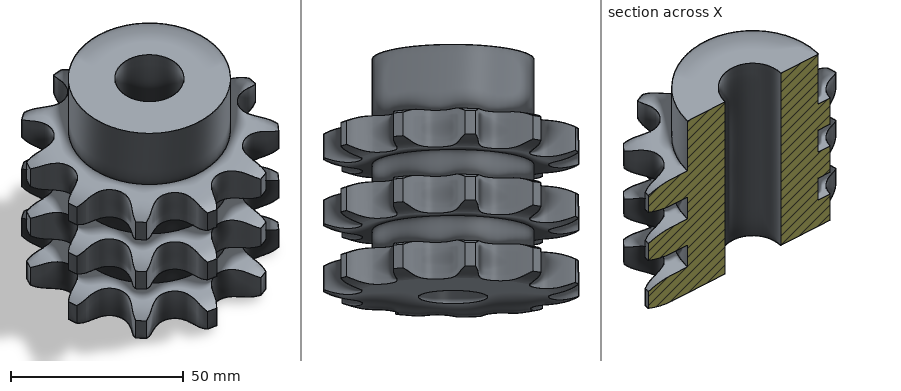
import cadquery as cq
import math

tooth_count = 11
pitch = 19.0
roller_diameter = 12.1

strand_count = 3
strand_spacing = 19.5
tooth_width = 10.8
tip_diameter = 75.0
hub_diameter = 47.0
bore_diameter = 20.0
total_height = 70.0

relief_start_radius = 28.95
relief_depth = 1.95

tip_radius = tip_diameter / 2
half_tooth_angle = math.pi / tooth_count
pitch_radius = pitch / (2 * math.sin(half_tooth_angle))

seat_radius = 0.5025 * roller_diameter
seat_end_angle = math.radians(35 + 60 / tooth_count)
working_sweep = math.radians(18 - 56 / tooth_count)
working_center_distance = 0.8 * roller_diameter
topping_center_distance = 1.4 * roller_diameter


def polar(radius, angle, center=(0, 0)):
    """Point at a radius and angle from a center."""
    return (center[0] + radius * math.cos(angle), center[1] + radius * math.sin(angle))


def rotated(point, angle):
    """Point turned about the sprocket axis."""
    x, y = point
    return (
        x * math.cos(angle) - y * math.sin(angle),
        x * math.sin(angle) + y * math.cos(angle),
    )


def flank_points():
    """Right flank of a gap centered on +Y, from the end of the seat out to the tip."""
    roller_center = (0, pitch_radius)
    seat_end = polar(seat_radius, -seat_end_angle, roller_center)

    working_center = polar(-working_center_distance, -seat_end_angle, roller_center)
    working_radius = working_center_distance + seat_radius
    working_end_angle = working_sweep - seat_end_angle
    working_middle = polar(working_radius, working_sweep / 2 - seat_end_angle, working_center)
    working_end = polar(working_radius, working_end_angle, working_center)

    topping_center = polar(topping_center_distance, -half_tooth_angle, roller_center)
    normal = polar(1, working_end_angle)
    topping_radius = sum((topping_center[i] - working_end[i]) * normal[i] for i in range(2))
    topping_start = polar(-topping_radius, working_end_angle, topping_center)

    center_distance = math.hypot(*topping_center)
    center_direction = math.atan2(topping_center[1], topping_center[0])
    cosine = (tip_radius**2 + center_distance**2 - topping_radius**2) / (2 * tip_radius * center_distance)
    tip = polar(tip_radius, center_direction + math.acos(cosine))
    tip_angle = math.atan2(tip[1] - topping_center[1], tip[0] - topping_center[0])
    topping_middle_angle = (tip_angle + working_end_angle + math.pi) / 2
    topping_middle = polar(topping_radius, topping_middle_angle, topping_center)

    return [seat_end, working_middle, working_end, topping_start, topping_middle, tip]


def toothed_plate():
    """Flat plate with the full tooth outline, resting on Z = 0."""
    right = flank_points()
    left = [(-x, y) for x, y in right]
    seat_bottom = (0, pitch_radius - seat_radius)
    tooth_middle = polar(tip_radius, math.pi / 2 - half_tooth_angle)

    outline = cq.Workplane("XY").moveTo(*left[-1])
    for index in range(tooth_count):
        turn = -2 * half_tooth_angle * index
        next_turn = turn - 2 * half_tooth_angle
        seat_end, working_middle, working_end, topping_start, topping_middle, tip = (
            rotated(point, turn) for point in right
        )
        left_seat, left_working_middle, left_working, left_topping, left_topping_middle, _ = (
            rotated(point, turn) for point in left
        )
        outline = (
            outline.threePointArc(left_topping_middle, left_topping)
            .lineTo(*left_working)
            .threePointArc(left_working_middle, left_seat)
            .threePointArc(rotated(seat_bottom, turn), seat_end)
            .threePointArc(working_middle, working_end)
            .lineTo(*topping_start)
            .threePointArc(topping_middle, tip)
            .threePointArc(rotated(tooth_middle, turn), rotated(left[-1], next_turn))
        )
    return outline.close().extrude(tooth_width)


def relief_envelope():
    """Disc whose sides curve inward towards the tip, tangent to its flat faces."""
    relief_length = tip_radius - relief_start_radius
    relief_radius = (relief_length**2 + relief_depth**2) / (2 * relief_depth)
    half_angle = math.asin(relief_length / relief_radius) / 2
    middle_radius = relief_start_radius + relief_radius * math.sin(half_angle)
    middle_depth = relief_radius * (1 - math.cos(half_angle))
    return (
        cq.Workplane("XZ")
        .lineTo(relief_start_radius, 0)
        .threePointArc((middle_radius, middle_depth), (tip_radius, relief_depth))
        .lineTo(tip_radius, tooth_width - relief_depth)
        .threePointArc((middle_radius, tooth_width - middle_depth), (relief_start_radius, tooth_width))
        .lineTo(0, tooth_width)
        .close()
        .revolve(360, (0, 0), (0, 1))
    )


sprocket = toothed_plate().intersect(relief_envelope())

result = cq.Workplane("XY").circle(hub_diameter / 2).extrude(total_height)
for strand in range(strand_count):
    result = result.union(sprocket.translate((0, 0, strand * strand_spacing)))

bore = cq.Workplane("XY").circle(bore_diameter / 2).extrude(total_height)
result = result.cut(bore)